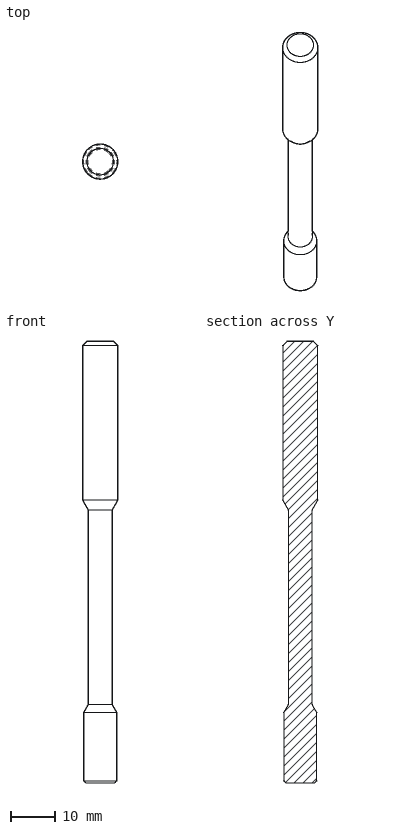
import cadquery as cq
import math

total_length = 100.0
shank_length = 36.0
head_length = 16.0

shank_radius = 8.0 / 2
neck_radius = 5.5 / 2
head_radius = 7.5 / 2

shank_chamfer = 1.0
head_chamfer = 0.5
cone_angle = 30.0


def cone_length(large_radius):
    """Axial length of the cone between the neck and a larger cylinder."""
    return (large_radius - neck_radius) / math.tan(math.radians(cone_angle))


shank_bottom = total_length - shank_length
neck_top = shank_bottom - cone_length(shank_radius)
neck_bottom = head_length + cone_length(head_radius)

half_profile = [
    (0, 0),
    (head_radius - head_chamfer, 0),
    (head_radius, head_chamfer),
    (head_radius, head_length),
    (neck_radius, neck_bottom),
    (neck_radius, neck_top),
    (shank_radius, shank_bottom),
    (shank_radius, total_length - shank_chamfer),
    (shank_radius - shank_chamfer, total_length),
    (0, total_length),
]

result = cq.Workplane("XZ").polyline(half_profile).close().revolve(360, (0, 0, 0), (0, 1, 0))